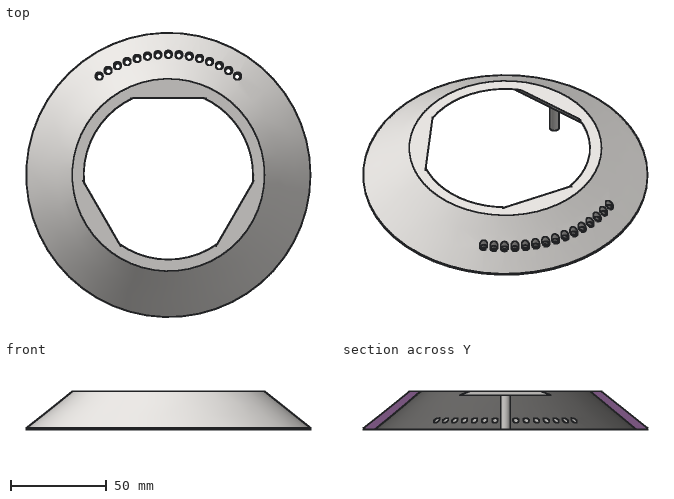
import cadquery as cq
import math

height = 20.0
base_radius = 74.1
top_radius = 50.1
rim_height = 0.9
inner_base_radius = 68.1
opening_radius = 44.0

tab_thickness = 2.1
flat_distance = 40.0
tab_angles = (90, 210, 330)

pin_diameter = 5.0
pin_circle_radius = opening_radius

hole_diameter = 3.0
counterbore_diameter = 4.0
counterbore_floor = 8.0
counterbore_circle_radius = 62.8
hole_circle_radius = 62.4
hole_count = 15
hole_pitch_angle = 5.0
hole_arc_center_angle = 90.0


def polar_point(radius, angle):
    radians = math.radians(angle)
    return radius * math.cos(radians), radius * math.sin(radians)


def revolve_profile(points):
    """Turn a closed (radius, height) outline around the Z axis."""
    return cq.Workplane("XZ").polyline(points).close().revolve(360, (0, 0, 0), (0, 1, 0))


def make_envelope():
    return revolve_profile([
        (0, 0),
        (base_radius, 0),
        (base_radius, rim_height),
        (top_radius, height),
        (0, height),
    ])


def make_cavity():
    return revolve_profile([
        (0, 0),
        (inner_base_radius, 0),
        (opening_radius, height),
        (0, height),
    ])


def make_tabs(envelope):
    blocks = cq.Workplane("XY")
    block_depth = top_radius - flat_distance
    for angle in tab_angles:
        block = (
            cq.Workplane("XY", origin=(0, 0, height - tab_thickness))
            .center(flat_distance + block_depth / 2, 0)
            .rect(block_depth, 2 * top_radius)
            .extrude(tab_thickness)
            .rotate((0, 0, 0), (0, 0, 1), angle)
        )
        blocks = blocks.add(block)
    return blocks.combine().intersect(envelope)


def make_pins():
    centers = [polar_point(pin_circle_radius, angle) for angle in tab_angles]
    return cq.Workplane("XY").pushPoints(centers).circle(pin_diameter / 2).extrude(height)


def make_hole_arc(circle_radius, diameter, floor):
    """Cylinders spaced along the arc, reaching from the floor level up to the top."""
    first_angle = hole_arc_center_angle - hole_pitch_angle * (hole_count - 1) / 2
    centers = [
        polar_point(circle_radius, first_angle + i * hole_pitch_angle)
        for i in range(hole_count)
    ]
    return (
        cq.Workplane("XY", origin=(0, 0, floor))
        .pushPoints(centers)
        .circle(diameter / 2)
        .extrude(height - floor)
    )


def make_holes():
    bores = make_hole_arc(hole_circle_radius, hole_diameter, 0)
    counterbores = make_hole_arc(counterbore_circle_radius, counterbore_diameter, counterbore_floor)
    return bores.union(counterbores)


envelope = make_envelope()
shell = envelope.cut(make_cavity())
result = shell.union(make_tabs(envelope)).union(make_pins()).cut(make_holes())